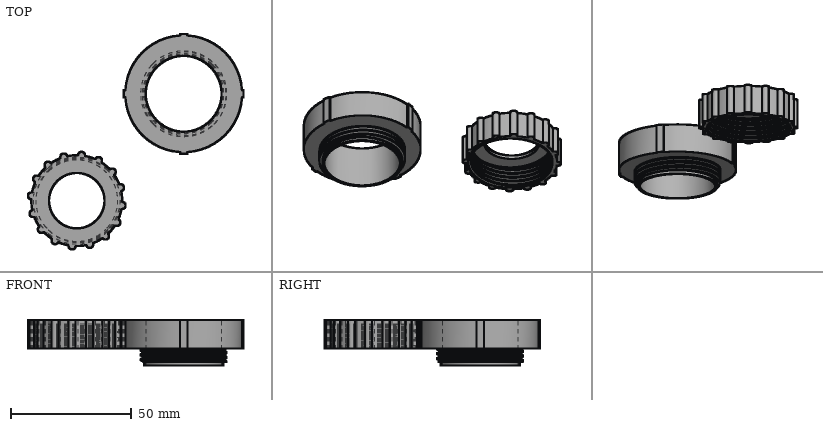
import cadquery as cq

body_height = 12.0
centre_offset = 44.53

pitch = 2.0
root_overlap = 0.1

flange_diameter = 48.8
flange_bore = 31.5
tab_span = 50.0
tab_width = 3.0
tab_pair_count = 2
spigot_length = 7.0
spigot_diameter = 33.0
plain_end_length = 1.4
male_root_diameter = 33.43
male_crest_diameter = 35.82
male_root_width = 1.8
male_crest_width = 0.4

nut_diameter = 38.0
nut_bore = 23.0
roof_thickness = 1.8
rib_diameter = 3.0
rib_count = 16
rib_start_angle = 16.5
female_crest_diameter = 34.02
female_root_diameter = 36.26
female_mouth_width = 1.5
female_floor_width = 0.3

origin = cq.Vector(0, 0, 0)
z_axis = cq.Vector(0, 0, 1)


def cylinder(diameter, bottom, height):
    return cq.Workplane("XY").workplane(offset=bottom).circle(diameter / 2).extrude(height)


def helical_ridge(inner_diameter, outer_diameter, inner_width, outer_width, bottom, height):
    """Trapezoidal helical ridge, narrowing outwards and trimmed flat at both ends."""
    inner_radius = inner_diameter / 2
    outer_radius = outer_diameter / 2
    flank_slope = (inner_width - outer_width) / (outer_radius - inner_radius)
    buried_radius = inner_radius - root_overlap
    buried_width = inner_width + flank_slope * root_overlap
    profile = [
        (buried_radius, -buried_width / 2),
        (outer_radius, -outer_width / 2),
        (outer_radius, outer_width / 2),
        (buried_radius, buried_width / 2),
    ]

    helix_height = height + 2 * pitch
    helix_angle = 360 * helix_height / pitch

    helices = []
    for radius, level in profile:
        helix = cq.Wire.makeHelix(pitch, helix_height, radius)
        helices.append(helix.translate(cq.Vector(0, 0, level)))
    faces = []
    for helix, next_helix in zip(helices, helices[1:] + helices[:1]):
        faces.append(cq.Face.makeRuledSurface(helix, next_helix))

    corners = [cq.Vector(radius, 0, level) for radius, level in profile]
    start_cap = cq.Face.makeFromWires(cq.Wire.makePolygon(corners, close=True))
    end_cap = start_cap.rotate(origin, z_axis, helix_angle).translate(z_axis * helix_height)
    shell = cq.Shell.makeShell(faces + [start_cap, end_cap])

    ridge = cq.Workplane(obj=cq.Solid.makeSolid(shell)).translate((0, 0, bottom - pitch))
    return ridge.intersect(cylinder(outer_diameter + pitch, bottom, height))


def make_threaded_spigot():
    thread_length = spigot_length - plain_end_length
    thread_bottom = -thread_length
    core = cylinder(spigot_diameter, -spigot_length, spigot_length)
    thread_root = cylinder(male_root_diameter, thread_bottom, thread_length)
    ridge = helical_ridge(
        male_root_diameter, male_crest_diameter, male_root_width, male_crest_width, thread_bottom, thread_length
    )
    return core.union(thread_root).union(ridge)


def make_flange():
    flange = cylinder(flange_diameter, 0, body_height)
    tab_bar = cq.Workplane("XY").rect(tab_span, tab_width).extrude(body_height)
    for index in range(tab_pair_count):
        flange = flange.union(tab_bar.rotate(origin, z_axis, index * 180 / tab_pair_count))
    flange = flange.union(make_threaded_spigot())
    return flange.cut(cylinder(flange_bore, -spigot_length, spigot_length + body_height))


def make_nut():
    ribs = (
        cq.Workplane("XY")
        .polarArray(nut_diameter / 2, rib_start_angle, 360, rib_count)
        .circle(rib_diameter / 2)
        .extrude(body_height)
    )
    nut = cylinder(nut_diameter, 0, body_height).union(ribs)

    cavity_depth = body_height - roof_thickness
    cavity = cylinder(female_crest_diameter, 0, cavity_depth)
    groove = helical_ridge(
        female_crest_diameter, female_root_diameter, female_mouth_width, female_floor_width, 0, cavity_depth
    )
    bore = cylinder(nut_bore, 0, body_height)
    return nut.cut(bore).cut(cavity.union(groove))


nut = make_nut()
flange = make_flange().translate((centre_offset, centre_offset, 0))
result = cq.Compound.makeCompound([nut.solids().val(), flange.solids().val()])